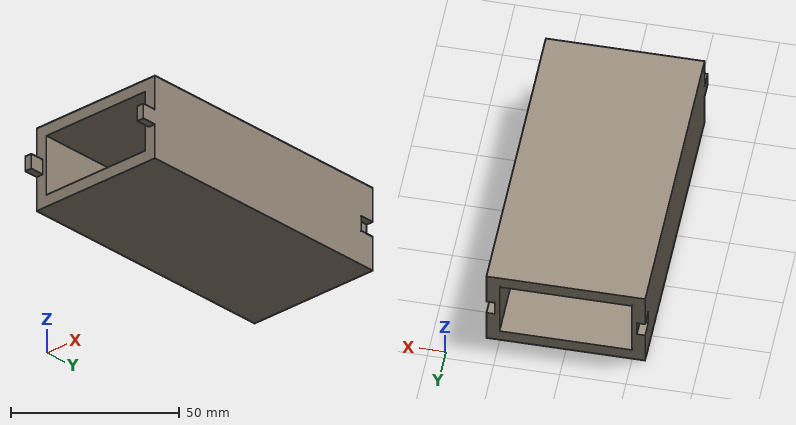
import cadquery as cq

total_length = 100.0
width = 48.0
height = 28.0
wall = 4.0
tab_length = 5.0
tab_height = 5.0
tab_thickness = 2.5

tube_length = total_length - tab_length


def side_blocks(y_center):
    """Pair of tab-sized blocks flush with the outer side faces."""
    x_center = (width - tab_thickness) / 2
    return (
        cq.Workplane("XY")
        .pushPoints([(-x_center, y_center), (x_center, y_center)])
        .box(tab_thickness, tab_length, tab_height)
    )


outer = cq.Workplane("XY").box(width, tube_length, height)
bore = cq.Workplane("XY").box(width - 2 * wall, tube_length, height - 2 * wall)
tube = outer.cut(bore)

tabs = side_blocks(-(tube_length + tab_length) / 2)
notches = side_blocks((tube_length - tab_length) / 2)

result = tube.union(tabs).cut(notches)